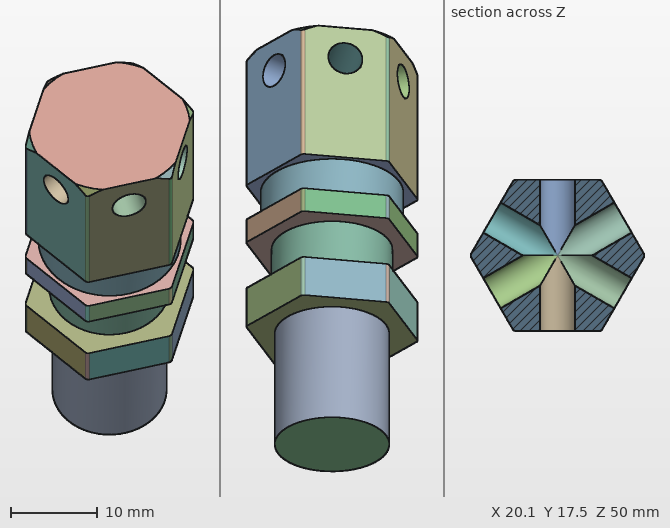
import cadquery as cq
import math

HEX_SIDES = 6
ACROSS_FLATS = 17.5
CORNER_RADIUS = 0.5

STEM_LENGTH = 14.5
LOWER_HEX_HEIGHT = 5.0
NECK_LENGTH = 6.0
UPPER_HEX_HEIGHT = 3.0
COLLAR_LENGTH = 4.5
CAP_HEIGHT = 17.0

STEM_DIAMETER = 13.25
NECK_DIAMETER = 14.0
COLLAR_DIAMETER = 16.5

CAP_FACE_DIAMETER = 18.6
CHAMFER_ANGLE = 45.0

HOLE_DIAMETER = 4.0
HOLE_DEPTH_BELOW_TOP = 4.0
HOLE_COUNT = HEX_SIDES // 2
HOLE_SPACING = 180.0 / HOLE_COUNT

ACROSS_CORNERS = ACROSS_FLATS / math.cos(math.pi / HEX_SIDES)

LOWER_HEX_BASE = STEM_LENGTH
NECK_BASE = LOWER_HEX_BASE + LOWER_HEX_HEIGHT
UPPER_HEX_BASE = NECK_BASE + NECK_LENGTH
COLLAR_BASE = UPPER_HEX_BASE + UPPER_HEX_HEIGHT
CAP_BASE = COLLAR_BASE + COLLAR_LENGTH
TOTAL_HEIGHT = CAP_BASE + CAP_HEIGHT


def round_section(diameter, base, height):
    """Cylinder on the Z axis starting at the given level."""
    return cq.Workplane("XY").workplane(offset=base).circle(diameter / 2).extrude(height)


def hex_section(base, height):
    """Hexagonal prism with corners on the X axis and rounded vertical edges."""
    prism = cq.Workplane("XY").workplane(offset=base).polygon(HEX_SIDES, ACROSS_CORNERS).extrude(height)
    return prism.edges("|Z").fillet(CORNER_RADIUS)


def chamfer_envelope():
    """Revolved body around the cap whose conical top trims the hexagon's corners."""
    face_radius = CAP_FACE_DIAMETER / 2
    outer_radius = ACROSS_CORNERS / 2
    drop = (outer_radius - face_radius) * math.tan(math.radians(CHAMFER_ANGLE))
    profile = (
        cq.Workplane("XZ")
        .moveTo(0, CAP_BASE)
        .lineTo(outer_radius, CAP_BASE)
        .lineTo(outer_radius, TOTAL_HEIGHT - drop)
        .lineTo(face_radius, TOTAL_HEIGHT)
        .lineTo(0, TOTAL_HEIGHT)
        .close()
    )
    return profile.revolve(360, (0, 0, 0), (0, 1, 0))


def cross_hole(angle):
    """Through hole from flat to flat, turned about Z from the Y direction."""
    hole = (
        cq.Workplane("XZ")
        .center(0, TOTAL_HEIGHT - HOLE_DEPTH_BELOW_TOP)
        .circle(HOLE_DIAMETER / 2)
        .extrude(ACROSS_FLATS, both=True)
    )
    return hole.rotate((0, 0, 0), (0, 0, 1), angle)


def cap():
    """Hexagonal cap with chamfered top corners and crossing holes."""
    body = hex_section(CAP_BASE, CAP_HEIGHT).intersect(chamfer_envelope())
    for index in range(HOLE_COUNT):
        body = body.cut(cross_hole(index * HOLE_SPACING))
    return body


result = (
    round_section(STEM_DIAMETER, 0, STEM_LENGTH)
    .union(hex_section(LOWER_HEX_BASE, LOWER_HEX_HEIGHT))
    .union(round_section(NECK_DIAMETER, NECK_BASE, NECK_LENGTH))
    .union(hex_section(UPPER_HEX_BASE, UPPER_HEX_HEIGHT))
    .union(round_section(COLLAR_DIAMETER, COLLAR_BASE, COLLAR_LENGTH))
    .union(cap())
)